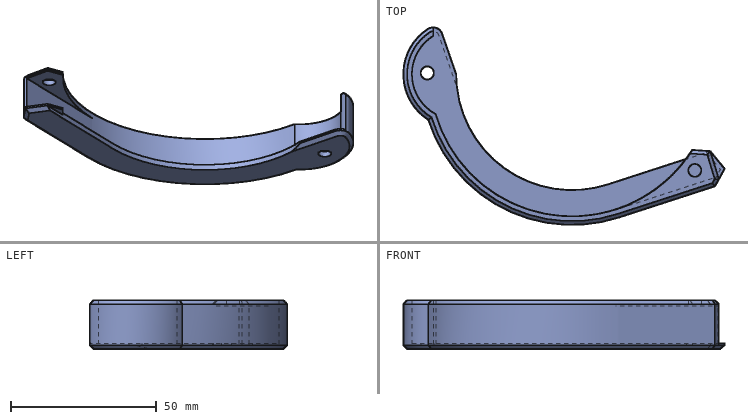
import cadquery as cq
import math

height = 16.7
plate = 2.0
wall = 3.0
chamfer = 1.3
hole_diameter = 4.4

outer_radius = 51.6
inner_radius = 39.6
head_radius = 18.5
head_x = -39.3
tip_radius = 3.3
tip_center = (-47.5, 12.8)
wall_end_x = -47.4

tail_angle = 18.0
outer_tail_length = 34.7
inner_tail_length = 36.9
tail_tip = (52.3, -32.4)
wall_end = (50.3, -36.0)
lug_corner = (37.6, -23.6)

head_hole = (-49.5, 0.4)
lug_hole = (42.0, -32.9)


def on_circle(radius, degrees, center=(0, 0)):
    angle = math.radians(degrees)
    return (center[0] + radius * math.cos(angle), center[1] + radius * math.sin(angle))


def notch(arm_radius, round_radius):
    """Lower crossing of an arm circle with a head circle."""
    x = (arm_radius**2 - round_radius**2 + head_x**2) / (2 * head_x)
    return (x, -math.sqrt(arm_radius**2 - x**2))


def tail_end(radius, length):
    """End of the straight tail that leaves an arm circle tangentially."""
    return on_circle(length, tail_angle, on_circle(radius, tail_angle - 90))


def arc_middle(radius, start, end):
    """Middle of the short lower arc between two points on an arm circle."""
    start_angle = math.degrees(math.atan2(start[1], start[0]))
    end_angle = math.degrees(math.atan2(end[1], end[0]))
    return on_circle(radius, (start_angle + end_angle) / 2)


head_center = (head_x, 0)
arm_start = (-inner_radius, 0)
outer_notch = notch(outer_radius, head_radius)
inner_notch = notch(outer_radius - wall, head_radius - wall)
outer_tangent = on_circle(outer_radius, tail_angle - 90)
inner_tangent = on_circle(inner_radius, tail_angle - 90)
outer_tail = tail_end(outer_radius, outer_tail_length)
inner_tail = tail_end(inner_radius, inner_tail_length)

tip_angle = math.degrees(math.atan2(tip_center[1], tip_center[0] - head_x))
tip_start = on_circle(head_radius, tip_angle, head_center)
tip_top = on_circle(tip_radius, 90, tip_center)
side_run = math.dist(tip_center, arm_start)
side_direction = math.degrees(math.atan2(arm_start[1] - tip_center[1], arm_start[0] - tip_center[0]))
side_angle = side_direction + math.degrees(math.acos(tip_radius / side_run))
tip_end = on_circle(tip_radius, side_angle, tip_center)


def outer_side(start_z):
    """Outer boundary from the head tip, around the arm, to the end of the tail."""
    return (
        cq.Workplane("XY", origin=(0, 0, start_z))
        .moveTo(*tip_top)
        .threePointArc(on_circle(tip_radius, (90 + tip_angle) / 2, tip_center), tip_start)
        .threePointArc(on_circle(head_radius, 180, head_center), outer_notch)
        .threePointArc(arc_middle(outer_radius, outer_notch, outer_tangent), outer_tangent)
        .lineTo(*outer_tail)
    )


def edges_through(solid, z, points):
    """Edges at height z that pass through the given plan points."""
    vertices = [cq.Vertex.makeVertex(x, y, z) for x, y in points]
    found = [e for e in solid.edges().vals() if any(e.distance(v) < 0.001 for v in vertices)]
    return solid.newObject(found)


def middle(a, b):
    return ((a[0] + b[0]) / 2, (a[1] + b[1]) / 2)


outer_points = [
    on_circle(head_radius, 180, head_center),
    arc_middle(outer_radius, outer_notch, outer_tangent),
    middle(outer_tangent, outer_tail),
]


def make_floor():
    floor = (
        outer_side(0)
        .lineTo(*tail_tip)
        .lineTo(*inner_tail)
        .lineTo(*inner_tangent)
        .threePointArc(on_circle(inner_radius, (tail_angle - 90 - 180) / 2), arm_start)
        .lineTo(*tip_end)
        .threePointArc(on_circle(tip_radius, (side_angle + 90) / 2, tip_center), tip_top)
        .close()
        .extrude(plate)
    )
    ends = [middle(outer_tail, tail_tip), middle(tail_tip, inner_tail)]
    return edges_through(floor, 0, outer_points + ends).chamfer(chamfer)


def make_wall_and_lug():
    rim_radius = outer_radius - wall
    round_radius = head_radius - wall
    rim_end_y = math.sqrt(round_radius**2 - (wall_end_x - head_x) ** 2)
    lug_angle = math.degrees(math.atan2(lug_corner[1], lug_corner[0]))
    rim_lug = on_circle(rim_radius, lug_angle)
    upper = (
        outer_side(chamfer)
        .lineTo(*wall_end)
        .lineTo(*inner_tail)
        .lineTo(*rim_lug)
        .threePointArc(arc_middle(rim_radius, inner_notch, rim_lug), inner_notch)
        .threePointArc(on_circle(round_radius, 180, head_center), (wall_end_x, rim_end_y))
        .lineTo(wall_end_x, tip_top[1] - chamfer)
        .close()
        .extrude(height - chamfer)
    )
    ends = [middle(outer_tail, wall_end), middle(wall_end, inner_tail), middle(inner_tail, rim_lug)]
    return edges_through(upper, height, outer_points + ends).chamfer(chamfer)


def make_lug_gap():
    """Open space between the floor and the lug, inside the straight tail wall."""
    wall_radius = outer_radius - wall
    gap_length = 66
    gap_width = 33
    start = on_circle(wall_radius, tail_angle - 90)
    return (
        cq.Workplane("XY")
        .rect(gap_length, gap_width, centered=False)
        .extrude(height - 2 * plate)
        .rotate((0, 0, 0), (0, 0, 1), tail_angle)
        .translate((start[0], start[1], plate))
    )


def make_hole(center, bottom):
    return cq.Workplane("XY", origin=(*center, bottom)).circle(hole_diameter / 2).extrude(height)


upper = make_wall_and_lug().cut(make_lug_gap()).cut(make_hole(lug_hole, plate))
floor = make_floor().cut(make_hole(head_hole, 0))
result = floor.union(upper)